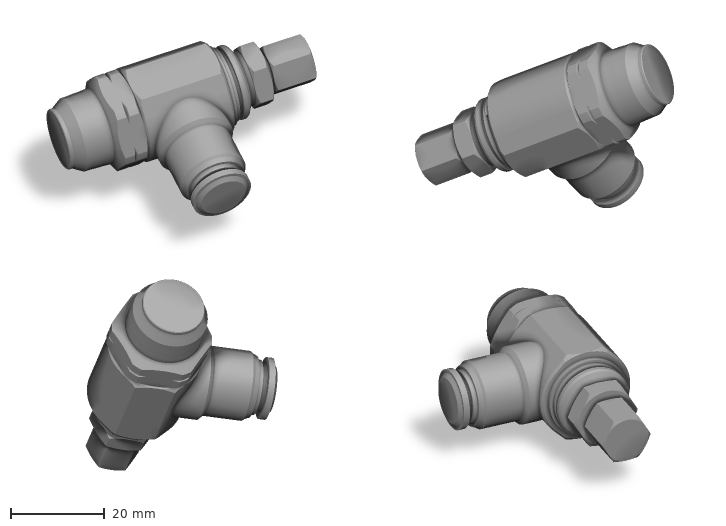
import cadquery as cq
import math


overall_width = 38.8
body_width = 21.0
body_half_length = 10.0
body_edge_chamfer = 0.45

nut_across_flats = 20.0
nut_round_diameter = 21.95
nut_end_y = -17.1
nut_groove_y = -13.1
nut_groove_half_width = 0.35
nut_groove_depth = 0.65

shank_radius = 8.45
shank_end_y = -26.55
thread_start_y = -17.95
thread_middle_y = -20.4
thread_middle_radius = 8.35
thread_end_y = -23.3
thread_end_radius = 8.2
pilot_start_y = -25.6
pilot_radius = 6.8
pilot_chamfer = 0.2

ring_radius = 8.95
ring_end_y = 11.1
ring_gap_start_angle = 191.5
ring_gap_end_angle = 293
flange_radius = 8.3
neck_radius = 7.25
flange_groove_start_y = 12.0
flange_groove_end_y = 13.0
flange_end_y = 13.9
shoulder_y = 14.45
shoulder_radius = 7.95
collar_start_y = 15.45
collar_start_radius = 6.2
collar_radius = 6.1
lock_nut_across_flats = 13.05
lock_nut_start_y = 16.45
lock_nut_end_y = 20.5
stem_radius = 3.95
cap_across_flats = 10.0
cap_start_y = 21.45
cap_end_y = 30.95

sleeve_radius = 8.55
sleeve_end_x = 12.5
barrel_radius = 7.55
barrel_start_x = 13.5
barrel_end_x = 22.0
nose_chamfer_end_x = 22.55
nose_start_radius = 7.15
nose_step_x = 23.6
nose_end_radius = 6.65
lip_start_radius = 6.05
lip_end_x = 24.55
lip_end_radius = 5.9
button_neck_radius = 5.0
button_flare_x = 25.3
button_flare_radius = 5.2
button_flange_start_x = 25.7
button_flange_end_x = 27.1
button_flange_radius = 6.65
button_cone_radius = 6.0
button_face_radius = 5.05
port_end_x = overall_width - nut_round_diameter / 2

slope_30 = math.tan(math.radians(30))


def turned_on_y(profile):
    """Solid of revolution about Y; profile holds (radius, y) points from bottom to top."""
    points = [(0, profile[0][1])] + profile + [(0, profile[-1][1])]
    return cq.Workplane("XY").polyline(points).close().revolve(360, (0, 0, 0), (0, 1, 0))


def turned_on_x(profile):
    """Solid of revolution about X; profile holds (x, radius) points from left to right."""
    points = [(profile[0][0], 0)] + profile + [(profile[-1][0], 0)]
    return cq.Workplane("XY").polyline(points).close().revolve(360, (0, 0, 0), (1, 0, 0))


def hexagon_bar(across_flats, start_y, end_y):
    """Hexagonal prism along Y with a corner on +X."""
    corner_diameter = across_flats / math.cos(math.pi / 6)
    return cq.Workplane("XZ", origin=(0, end_y, 0)).polygon(6, corner_diameter).extrude(end_y - start_y)


def chamfered_hexagon(across_flats, start_y, end_y):
    """Hexagon with a corner on +X and 30 degree corner chamfers at both ends."""
    face_radius = across_flats / 2
    corner_radius = face_radius / math.cos(math.pi / 6)
    depth = (corner_radius - face_radius) * slope_30
    blank = turned_on_y([
        (face_radius, start_y),
        (corner_radius, start_y + depth),
        (corner_radius, end_y - depth),
        (face_radius, end_y),
    ])
    return hexagon_bar(across_flats, start_y, end_y).intersect(blank)


def body():
    """Barrel with tangent 45 degree facets running up to flats on the top and bottom."""
    radius = body_width / 2
    corner_radius = radius / math.cos(math.pi / 8)
    corner_depth = corner_radius - radius
    flat_half_width = radius * math.tan(math.pi / 8)
    tangent = radius * math.cos(math.pi / 4)
    bar = (
        cq.Workplane("XZ", origin=(0, body_half_length, 0))
        .moveTo(-flat_half_width, radius)
        .lineTo(flat_half_width, radius)
        .lineTo(tangent, tangent)
        .threePointArc((radius, 0), (tangent, -tangent))
        .lineTo(flat_half_width, -radius)
        .lineTo(-flat_half_width, -radius)
        .lineTo(-tangent, -tangent)
        .threePointArc((-radius, 0), (-tangent, tangent))
        .close()
        .extrude(2 * body_half_length)
    )
    bar = bar.faces("|Y").edges("not (<Z or >Z)").chamfer(body_edge_chamfer)
    blank = turned_on_y([
        (radius, -body_half_length),
        (corner_radius, corner_depth - body_half_length),
        (corner_radius, body_half_length - corner_depth),
        (radius, body_half_length),
    ])
    return bar.intersect(blank)


def mounting_nut():
    """Hexagon with rounded corners, a V groove around them and a long lower chamfer."""
    top_y = -body_half_length
    flat_radius = nut_across_flats / 2
    round_radius = nut_round_diameter / 2
    blank = turned_on_y([
        (shank_radius, nut_end_y),
        (round_radius, nut_end_y + (round_radius - shank_radius) * slope_30),
        (round_radius, nut_groove_y - nut_groove_half_width),
        (round_radius - nut_groove_depth, nut_groove_y),
        (round_radius, nut_groove_y + nut_groove_half_width),
        (round_radius, top_y - (round_radius - flat_radius) * slope_30),
        (flat_radius, top_y),
    ])
    return hexagon_bar(nut_across_flats, nut_end_y, top_y).intersect(blank)


def threaded_shank():
    return turned_on_y([
        (pilot_radius - pilot_chamfer, shank_end_y),
        (pilot_radius, shank_end_y + pilot_chamfer),
        (pilot_radius, pilot_start_y),
        (thread_end_radius, thread_end_y),
        (thread_middle_radius, thread_middle_y),
        (shank_radius, thread_start_y),
        (shank_radius, nut_end_y),
    ])


def knob():
    """Grooved flange with its conical shoulder, collar and the stem up to the cap."""
    return turned_on_y([
        (neck_radius, body_half_length),
        (neck_radius, ring_end_y),
        (flange_radius, ring_end_y),
        (flange_radius, flange_groove_start_y),
        (neck_radius, flange_groove_start_y),
        (neck_radius, flange_groove_end_y),
        (flange_radius, flange_groove_end_y),
        (flange_radius, flange_end_y),
        (shoulder_radius, shoulder_y),
        (collar_start_radius, collar_start_y),
        (collar_radius, collar_start_y),
        (collar_radius, lock_nut_start_y),
        (stem_radius, lock_nut_start_y),
        (stem_radius, cap_start_y),
    ])


def stop_ring():
    """Ring under the flange, open over a sector on its -X, -Z side."""
    reach = 2 * ring_radius
    gap_corners = [(0, 0)]
    for angle in (ring_gap_start_angle, ring_gap_end_angle):
        turn = math.radians(angle)
        gap_corners.append((reach * math.cos(turn), reach * math.sin(turn)))
    thickness = ring_end_y - body_half_length
    plane = cq.Workplane("XZ", origin=(0, ring_end_y, 0))
    ring = plane.circle(ring_radius).extrude(thickness)
    return ring.cut(plane.polyline(gap_corners).close().extrude(thickness))


def tube_port():
    """Sleeve, barrel and stepped nose, then the release button with its flange."""
    return turned_on_x([
        (0, sleeve_radius),
        (sleeve_end_x, sleeve_radius),
        (barrel_start_x, barrel_radius),
        (barrel_end_x, barrel_radius),
        (nose_chamfer_end_x, nose_start_radius),
        (nose_step_x, nose_end_radius),
        (nose_step_x, lip_start_radius),
        (lip_end_x, lip_end_radius),
        (lip_end_x, button_neck_radius),
        (button_flare_x, button_neck_radius),
        (button_flange_start_x, button_flare_radius),
        (button_flange_start_x, button_flange_radius),
        (button_flange_end_x, button_flange_radius),
        (button_flange_end_x, button_cone_radius),
        (port_end_x, button_face_radius),
    ])


result = (
    body()
    .union(mounting_nut())
    .union(threaded_shank())
    .union(knob())
    .union(stop_ring())
    .union(chamfered_hexagon(lock_nut_across_flats, lock_nut_start_y, lock_nut_end_y))
    .union(chamfered_hexagon(cap_across_flats, cap_start_y, cap_end_y))
    .union(tube_port())
)